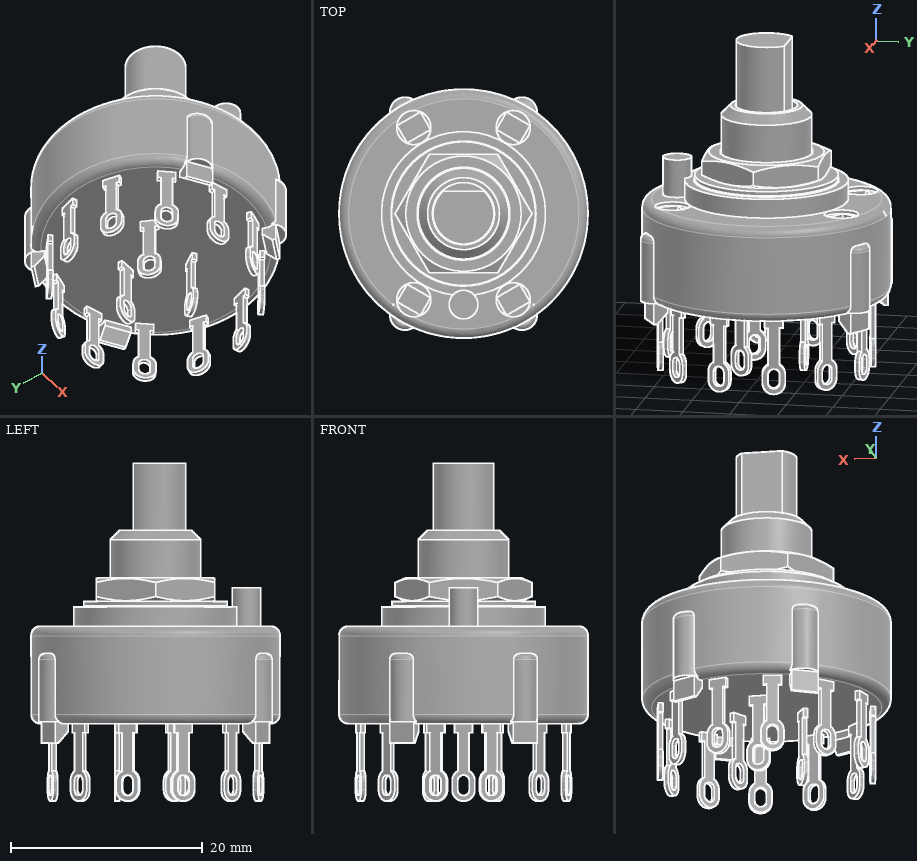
import cadquery as cq
import math


total_height = 35.3
bushing_top = 28.3
nut_top = 23.35
nut_bottom = 20.85
pin_top = 22.3
washer_bottom = 20.4
ring_top = 20.3
case_top = 18.3
case_bottom = 8.1

case_diameter = 26.0
case_round = 1.0
case_wall = 1.0
case_roof = 1.05
case_floor = 2.0

ring_diameter = 17.12
groove_diameter = 15.15
groove_depth = 0.3
hub_diameter = 10.25
bushing_diameter = 9.5
bushing_chamfer = 1.0
bore_diameter = 6.5

pin_diameter = 3.0
pin_offset = 9.5

clip_angle_from_x = 60.0
opening_radius = 10.38
recess_diameter = 3.55
recess_depth = 0.4
slot_length = 2.12
slot_width = 2.82
rail_diameter = 3.18
rail_radius = 12.2
rail_round = 0.6
rail_top = 15.43
rail_bottom = 8.3
foot_bottom = 6.07
foot_outer_radius = 12.92
foot_inner_radius = 11.47
foot_tip_radius = 12.55
foot_width = 2.9
foot_skew = 0.2
foot_slope_start = 7.27

terminal_thickness = 0.5
shoulder_width = 1.9
shoulder_bottom = 7.13
neck_width = 1.2
eye_width = 2.4
eye_height = 3.32
eye_hole_width = 1.2
eye_hole_height = 2.12
outer_terminal_radius = 11.12
outer_terminal_count = 12
outer_terminal_angle = 15.0
common_terminal_radius = 4.0
common_terminal_count = 3
common_terminal_angle = 90.0

shaft_diameter = 6.35
shaft_flat_offset = 2.33
nut_across_flats = 12.4
nut_face_diameter = 12.05
nut_bore_diameter = 9.7
nut_chamfer_angle = 24.0
washer_diameter = 15.0
washer_bore_diameter = 10.3


def cylinder(diameter, bottom, top):
    return cq.Workplane("XY").workplane(offset=bottom).circle(diameter / 2).extrude(top - bottom)


def place_radially(part, radius, angle):
    """Move a part built at the origin outward along +X, then turn it about the Z axis."""
    return part.translate((radius, 0, 0)).rotate((0, 0, 0), (0, 0, 1), angle)


def make_cavity():
    return cylinder(case_diameter - 2 * case_wall, case_bottom + case_floor, case_top - case_roof)


def make_case():
    """Closed hollow drum with rounded rims."""
    return cylinder(case_diameter, case_bottom, case_top).edges().fillet(case_round).cut(make_cavity())


def make_neck():
    """Ring, grooved for the washer, with the hub and the bored bushing above it."""
    ring = cylinder(ring_diameter, case_top, ring_top)
    groove = cylinder(groove_diameter, ring_top - groove_depth, ring_top)
    hub = cylinder(hub_diameter, case_top, nut_bottom)
    bushing = cylinder(bushing_diameter, case_top, bushing_top).faces(">Z").chamfer(bushing_chamfer)
    bore = cylinder(bore_diameter, case_top, bushing_top)
    return ring.cut(groove).union(hub).union(bushing).cut(bore)


def make_roof_opening():
    """Round recess with a rectangular slot through the roof."""
    recess = cylinder(recess_diameter, case_top - recess_depth, case_top)
    slot = (
        cq.Workplane("XY")
        .workplane(offset=case_top - case_roof)
        .rect(slot_length, slot_width)
        .extrude(case_roof)
    )
    return recess.union(slot)


def make_rail():
    return cylinder(rail_diameter, rail_bottom, rail_top).faces(">Z").edges().fillet(rail_round)


def make_foot(skew):
    """Foot cut back below to a hook; its inner end is shifted sideways by the skew."""
    half_width = foot_width / 2
    plan = (
        cq.Workplane("XY")
        .workplane(offset=foot_bottom)
        .moveTo(foot_outer_radius, -half_width)
        .lineTo(foot_outer_radius, half_width)
        .lineTo(foot_inner_radius, half_width + skew)
        .lineTo(foot_inner_radius, -half_width + skew)
        .close()
        .extrude(rail_bottom - foot_bottom)
    )
    profile = (
        cq.Workplane("XZ")
        .moveTo(foot_outer_radius, foot_bottom)
        .lineTo(foot_outer_radius, rail_bottom)
        .lineTo(foot_inner_radius, rail_bottom)
        .lineTo(foot_inner_radius, foot_slope_start)
        .lineTo(foot_tip_radius, foot_bottom)
        .close()
        .extrude(foot_width, both=True)
    )
    return plan.intersect(profile)


def upright_bar(width, bottom, top):
    """Flat bar of the terminal sheet, centred on the Z axis and facing X."""
    return (
        cq.Workplane("XY")
        .workplane(offset=bottom)
        .rect(terminal_thickness, width)
        .extrude(top - bottom)
    )


def upright_slot(width, height):
    """Round-ended plate of the terminal sheet, centred on the eye and facing X."""
    return (
        cq.Workplane("YZ")
        .center(0, eye_height / 2)
        .slot2D(height, width, 90)
        .extrude(terminal_thickness / 2, both=True)
    )


def make_terminal():
    """Flat terminal whose shoulder is rooted halfway into the case floor."""
    root = case_bottom + case_floor / 2
    shoulder = upright_bar(shoulder_width, shoulder_bottom, root)
    neck = upright_bar(neck_width, eye_height / 2, root)
    eye = upright_slot(eye_width, eye_height)
    hole = upright_slot(eye_hole_width, eye_hole_height)
    return shoulder.union(neck).union(eye).cut(hole)


def add_clips(housing):
    """Add the four clips, mirrored about the X and Y axes, and open the roof inside each one."""
    cavity = make_cavity()
    for angle, skew in (
        (clip_angle_from_x, -foot_skew),
        (180.0 - clip_angle_from_x, foot_skew),
        (180.0 + clip_angle_from_x, -foot_skew),
        (360.0 - clip_angle_from_x, foot_skew),
    ):
        opening = place_radially(make_roof_opening(), opening_radius, angle)
        rail = place_radially(make_rail(), rail_radius, angle).cut(cavity)
        foot = place_radially(make_foot(skew), 0, angle)
        housing = housing.cut(opening).union(rail).union(foot)
    return housing


def add_terminals(housing):
    """Add the outer ring of terminals and the common terminals inside it."""
    terminal = make_terminal()
    for count, radius, first_angle in (
        (outer_terminal_count, outer_terminal_radius, outer_terminal_angle),
        (common_terminal_count, common_terminal_radius, common_terminal_angle),
    ):
        for index in range(count):
            housing = housing.union(place_radially(terminal, radius, first_angle + index * 360.0 / count))
    return housing


def make_housing():
    pin = cylinder(pin_diameter, case_top, pin_top).translate((0, -pin_offset, 0))
    housing = make_case().union(make_neck()).union(pin)
    return add_terminals(add_clips(housing))


def make_shaft():
    """Round shaft with a flat along its +Y side."""
    flat = (
        cq.Workplane("XY")
        .workplane(offset=case_top)
        .center(0, shaft_flat_offset + shaft_diameter / 2)
        .rect(shaft_diameter, shaft_diameter)
        .extrude(total_height - case_top)
    )
    return cylinder(shaft_diameter, case_top, total_height).cut(flat)


def make_nut():
    """Hexagon nut with both faces chamfered to a circle."""
    corner_radius = nut_across_flats / math.sqrt(3)
    corner_drop = (corner_radius - nut_face_diameter / 2) * math.tan(math.radians(nut_chamfer_angle))
    hexagon = (
        cq.Workplane("XY")
        .workplane(offset=nut_bottom)
        .polygon(6, 2 * corner_radius)
        .extrude(nut_top - nut_bottom)
    )
    double_cone = (
        cq.Workplane("XZ")
        .moveTo(0, nut_bottom)
        .lineTo(nut_face_diameter / 2, nut_bottom)
        .lineTo(corner_radius, nut_bottom + corner_drop)
        .lineTo(corner_radius, nut_top - corner_drop)
        .lineTo(nut_face_diameter / 2, nut_top)
        .lineTo(0, nut_top)
        .close()
        .revolve(360, (0, 0, 0), (0, 1, 0))
    )
    return hexagon.intersect(double_cone).cut(cylinder(nut_bore_diameter, nut_bottom, nut_top))


def make_washer():
    disc = cylinder(washer_diameter, washer_bottom, nut_bottom)
    return disc.cut(cylinder(washer_bore_diameter, washer_bottom, nut_bottom))


housing = make_housing()
shaft = make_shaft()
nut = make_nut()
washer = make_washer()

result = cq.Compound.makeCompound([housing.val(), shaft.val(), nut.val(), washer.val()])